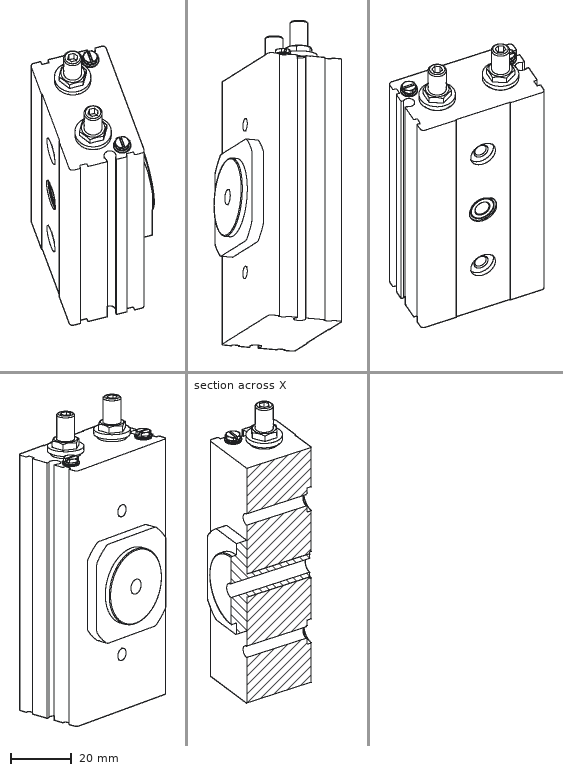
import cadquery as cq
import math


total_height = 103.0
housing_width = 45.0
housing_depth = 25.9
housing_height = 89.0
housing_back = housing_depth / 2
housing_front = -housing_back
housing_middle_z = housing_height / 2

corner_radius = 1.2
panel_width = 19.7
panel_recess = 0.26
slot_width = 2.5
slot_depth = 1.2
slot_offset = 8.0
slot_edge_radius = 0.28
edge_margin = 0.2
groove_diameter = 3.9
groove_mouth = 3.1
groove_axis_depth = 2.1
groove_y = 1.4

mount_spacing = 25.0
mount_counterbore_diameter = 9.0
mount_counterbore_depth = 1.9
mount_hole_diameter = 4.1
mount_countersink_diameter = 5.0

table_width = 34.5
table_corner_diameter = 42.0
table_edge_radius = 2.1
table_thickness = 4.1
flange_diameter = 26.0
flange_thickness = 2.1
flange_chamfer = 0.3
table_bore_diameter = 5.0
table_bore_mouth_diameter = 5.5
shaft_diameter = 8.5
shaft_end_diameter = 8.0
shaft_recess_diameter = 9.9
shaft_recess_depth = 0.8

bolt_x = 11.5
bolt_y = -1.6
bolt_diameter = 6.0
bolt_end_diameter = 5.0
bolt_socket = 3.0
bolt_socket_depth = 3.0
washer_diameter = 12.0
washer_thickness = 1.6
washer_foot_diameter = 9.9
washer_foot_height = 1.1
washer_height = washer_foot_height + washer_thickness
nut_across_flats = 8.1
nut_face_diameter = 7.7
nut_height = 2.5
hexagon_chamfer_angle = 30.0

screw_x = 18.0
screw_y = 6.4
screw_base_diameter = 5.5
screw_base_height = 0.4
screw_collar_diameter = 5.8
screw_collar_height = 0.2
screw_neck_diameter = 4.5
screw_neck_height = 0.5
screw_head_across_flats = 4.5
screw_head_face_diameter = 4.4
screw_head_height = 1.2
screw_slot_width = 0.6
screw_slot_depth = 0.8


def cylinder_z(diameter, bottom, height):
    return cq.Workplane("XY").workplane(offset=bottom).circle(diameter / 2).extrude(height)


def cylinder_y(diameter, z, front, length):
    """Cylinder along +Y that starts at y = front."""
    plane = cq.Plane(origin=(0, front, z), xDir=(1, 0, 0), normal=(0, 1, 0))
    return cq.Workplane(plane).circle(diameter / 2).extrude(length)


def cone_y(front_diameter, back_diameter, z, front, length):
    cone = cq.Solid.makeCone(
        front_diameter / 2, back_diameter / 2, length, pnt=cq.Vector(0, front, z), dir=cq.Vector(0, 1, 0)
    )
    return cq.Workplane(obj=cone)


def hexagon_z(across_flats, bottom, height):
    """Hexagonal prism with two flats facing +X and -X."""
    across_corners = across_flats / math.cos(math.pi / 6)
    return (
        cq.Workplane("XY").workplane(offset=bottom)
        .transformed(rotate=(0, 0, 90))
        .polygon(6, across_corners)
        .extrude(height)
    )


def chamfered_hexagon_z(across_flats, face_diameter, bottom, height):
    """Hexagonal prism whose corners are turned off at the top, down to a round end face."""
    across_corners = across_flats / math.cos(math.pi / 6)
    overhang = (across_corners - face_diameter) / 2
    drop = overhang * math.tan(math.radians(hexagon_chamfer_angle))
    blank = cylinder_z(across_corners, bottom, height)
    envelope = blank.faces(">Z").chamfer(drop, overhang)
    return hexagon_z(across_flats, bottom, height).intersect(envelope)


def cut_side_slot(body, side, y):
    """Rectangular sensor slot with rounded mouth and floor edges."""
    wall_x = side * housing_width / 2
    slot_x = wall_x - side * slot_depth / 2
    slot = cq.Workplane("XY").center(slot_x, y).rect(slot_depth, slot_width).extrude(housing_height)
    around_slot = cq.selectors.BoxSelector(
        (wall_x - side * (slot_depth + edge_margin), y - slot_width / 2 - edge_margin, 0),
        (wall_x + side * edge_margin, y + slot_width / 2 + edge_margin, housing_height),
    )
    return body.cut(slot).edges("|Z").edges(around_slot).fillet(slot_edge_radius)


def cut_side_groove(body, side):
    """Round sensor groove that opens to the side through a narrower mouth."""
    axis_x = side * (housing_width / 2 - groove_axis_depth)
    mouth_x = side * (housing_width - groove_axis_depth) / 2
    groove = cq.Workplane("XY").center(axis_x, groove_y).circle(groove_diameter / 2).extrude(housing_height)
    mouth = (
        cq.Workplane("XY")
        .center(mouth_x, groove_y)
        .rect(groove_axis_depth, groove_mouth)
        .extrude(housing_height)
    )
    return body.cut(groove).cut(mouth)


def mounting_hole(z):
    floor_y = housing_front + mount_counterbore_depth
    countersink_depth = (mount_countersink_diameter - mount_hole_diameter) / 2
    hole = cylinder_y(mount_hole_diameter, z, housing_front, housing_depth)
    hole = hole.union(cylinder_y(mount_counterbore_diameter, z, housing_front, mount_counterbore_depth))
    return hole.union(
        cone_y(mount_countersink_diameter, mount_hole_diameter, z, floor_y, countersink_depth)
    )


def make_housing():
    body = (
        cq.Workplane("XY")
        .rect(housing_width, housing_depth)
        .extrude(housing_height)
        .edges("|Z")
        .fillet(corner_radius)
    )
    panel = (
        cq.Workplane("XY")
        .center(0, housing_front + panel_recess / 2)
        .rect(panel_width, panel_recess)
        .extrude(housing_height)
    )
    body = body.cut(panel)
    for side in (-1, 1):
        body = cut_side_groove(body, side)
        for y in (-slot_offset, slot_offset):
            body = cut_side_slot(body, side, y)
    for z in (housing_middle_z - mount_spacing, housing_middle_z + mount_spacing):
        body = body.cut(mounting_hole(z))
    body = body.cut(cylinder_y(shaft_diameter, housing_middle_z, housing_front, housing_depth))
    return body.cut(cylinder_y(shaft_recess_diameter, housing_middle_z, housing_front, shaft_recess_depth))


def make_table():
    """Square plate with rounded corners, a round flange, and a hollow shaft through the housing."""
    plate = (
        cq.Workplane("XY")
        .rect(table_width, table_width)
        .extrude(table_thickness)
        .intersect(cylinder_z(table_corner_diameter, 0, table_thickness))
        .edges("|Z")
        .fillet(table_edge_radius)
        .rotate((0, 0, 0), (1, 0, 0), -90)
        .translate((0, housing_back, housing_middle_z))
    )
    flange = cylinder_y(flange_diameter, housing_middle_z, housing_back + table_thickness, flange_thickness)
    flange = flange.faces(">Y").chamfer(flange_chamfer)
    shaft_front = housing_front + shaft_recess_depth
    shaft = cylinder_y(shaft_diameter, housing_middle_z, shaft_front, housing_back - shaft_front)
    shaft = shaft.faces("<Y").chamfer((shaft_diameter - shaft_end_diameter) / 2)
    table_back = housing_back + table_thickness + flange_thickness
    bore = cylinder_y(table_bore_diameter, housing_middle_z, housing_front, table_back - housing_front)
    mouth_depth = (table_bore_mouth_diameter - table_bore_diameter) / 2
    mouth = cone_y(
        table_bore_mouth_diameter, table_bore_diameter, housing_middle_z, shaft_front, mouth_depth
    )
    return plate.union(flange).union(shaft).cut(bore).cut(mouth)


def make_bolt(side):
    """Stud with a hexagon socket in its top end."""
    bolt = cylinder_z(bolt_diameter, housing_height, total_height - housing_height)
    bolt = bolt.faces(">Z").chamfer((bolt_diameter - bolt_end_diameter) / 2)
    bolt = bolt.cut(hexagon_z(bolt_socket, total_height - bolt_socket_depth, bolt_socket_depth))
    return bolt.translate((side * bolt_x, bolt_y, 0))


def make_washer(side):
    """Sealing washer with a narrower foot that rests on the housing."""
    washer = cylinder_z(washer_foot_diameter, housing_height, washer_foot_height)
    washer = washer.union(cylinder_z(washer_diameter, housing_height + washer_foot_height, washer_thickness))
    washer = washer.cut(cylinder_z(bolt_diameter, housing_height, washer_height))
    return washer.translate((side * bolt_x, bolt_y, 0))


def make_nut(side):
    bottom = housing_height + washer_height
    nut = chamfered_hexagon_z(nut_across_flats, nut_face_diameter, bottom, nut_height)
    nut = nut.cut(cylinder_z(bolt_diameter, bottom, nut_height))
    return nut.translate((side * bolt_x, bolt_y, 0))


def make_screw(side):
    """Needle screw: stepped collar under a slotted hexagon head."""
    collar_bottom = housing_height + screw_base_height
    neck_bottom = collar_bottom + screw_collar_height
    head_bottom = neck_bottom + screw_neck_height
    head_top = head_bottom + screw_head_height
    screw = cylinder_z(screw_base_diameter, housing_height, screw_base_height)
    screw = screw.union(cylinder_z(screw_collar_diameter, collar_bottom, screw_collar_height))
    screw = screw.union(cylinder_z(screw_neck_diameter, neck_bottom, screw_neck_height))
    head = chamfered_hexagon_z(
        screw_head_across_flats, screw_head_face_diameter, head_bottom, screw_head_height
    )
    screw = screw.union(head)
    slot = (
        cq.Workplane("XY")
        .workplane(offset=head_top - screw_slot_depth)
        .rect(screw_collar_diameter, screw_slot_width)
        .extrude(screw_slot_depth)
    )
    return screw.cut(slot).translate((side * screw_x, screw_y, 0))


bodies = [make_housing().val(), make_table().val()]
for side in (-1, 1):
    for make_body in (make_bolt, make_washer, make_nut, make_screw):
        bodies.append(make_body(side).val())

result = cq.Compound.makeCompound(bodies)